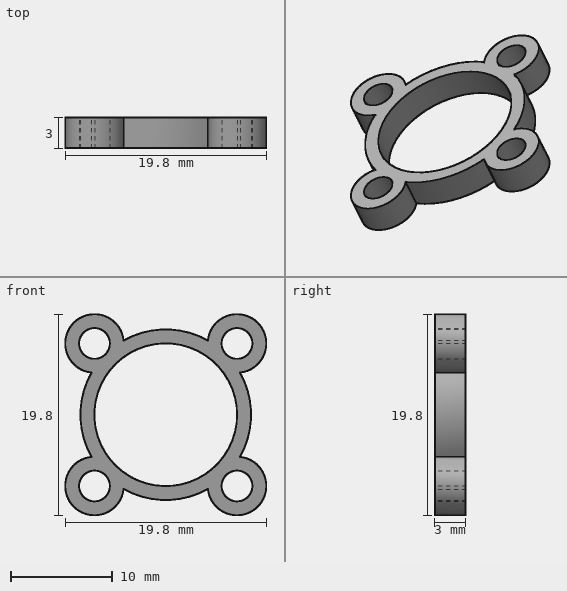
import cadquery as cq

overall_size = 19.78
thickness = 3.0

bore_diameter = 14.0
ring_diameter = 16.8

lug_diameter = 5.78
lug_hole_diameter = 3.0
lug_spacing = overall_size - lug_diameter


def disc(diameter):
    """Disc at the ring centre, with its axis along Y and its rear face on Y = 0."""
    return cq.Workplane("XZ").circle(diameter / 2).extrude(thickness)


def corner_discs(diameter):
    """Four equal discs at the lug centres."""
    return (
        cq.Workplane("XZ")
        .rect(lug_spacing, lug_spacing, forConstruction=True)
        .vertices()
        .circle(diameter / 2)
        .extrude(thickness)
    )


body = disc(ring_diameter).union(corner_discs(lug_diameter))
result = body.cut(disc(bore_diameter)).cut(corner_discs(lug_hole_diameter))